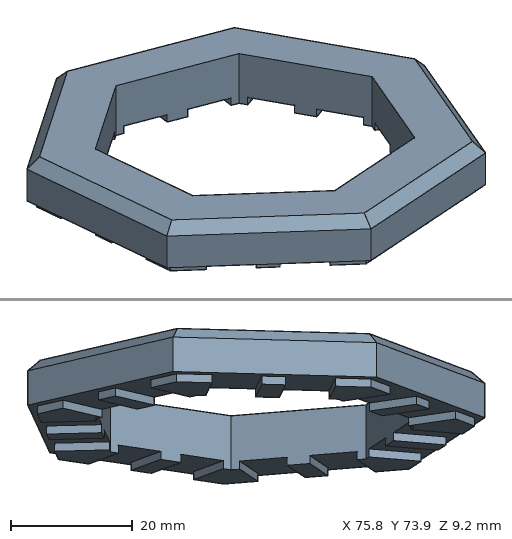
import cadquery as cq
import math

sides = 7
overall_width = 75.75
bore_radius = 27.05
total_height = 9.2
foot_height = 1.4
bevel = 2.0
foot_inset = 1.5
middle_foot_width = 3.95
channel_width = 8.25

side_angle = 2 * math.pi / sides
half_angle = side_angle / 2
outer_radius = overall_width / (2 * math.cos(half_angle / 2))
outer_apothem = outer_radius * math.cos(half_angle)
foot_ring_radius = (outer_apothem - foot_inset) / math.cos(half_angle)
body_height = total_height - foot_height
channel_offset = (middle_foot_width + channel_width) / 2


def heptagon_prism(corner_radius, height, base):
    """Upright prism standing at height base, with one corner pointing to +Y."""
    corners = []
    for i in range(sides):
        angle = math.pi / 2 + i * side_angle
        corners.append((corner_radius * math.cos(angle), corner_radius * math.sin(angle)))
    return cq.Workplane("XY").workplane(offset=base).polyline(corners).close().extrude(height)


def cut_channels(foot_ring):
    """Cut two straight channels, square to the wall, through each side of the foot ring."""
    for i in range(sides):
        for offset in (-channel_offset, channel_offset):
            channel = (
                cq.Workplane("XY")
                .box(channel_width, outer_radius, foot_height, centered=(True, False, False))
                .translate((offset, -outer_radius, 0))
                .rotate((0, 0, 0), (0, 0, 1), math.degrees(i * side_angle))
            )
            foot_ring = foot_ring.cut(channel)
    return foot_ring


body = heptagon_prism(outer_radius, body_height, foot_height).faces(">Z").edges().chamfer(bevel)
feet = cut_channels(heptagon_prism(foot_ring_radius, foot_height, 0))
opening = heptagon_prism(bore_radius, total_height, 0)

result = body.union(feet).cut(opening)